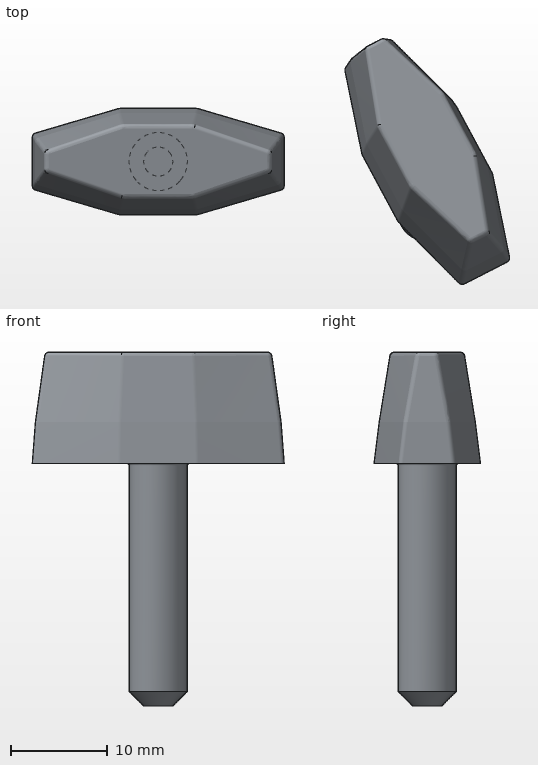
import cadquery as cq

BASE_SECTION = (0.0, 13.0, 5.5, 4.0, 2.85)
WAIST_SECTION = (4.25, 12.68, 4.97, 3.95, 2.35)
CROWN_SECTION = (11.5, 11.67, 3.8, 3.65, 1.05)
END_CORNER_RADIUS = 0.5
SIDE_CORNER_RADIUS = 1.0
CROWN_FILLET = 0.5

STUD_DIAMETER = 6.0
STUD_LENGTH = 25.0
TIP_CHAMFER = 1.5
ROOT_FILLET = 0.2


def head_wire(section):
    """Closed octagon with rounded corners, lying at the height of the section."""
    height, half_length, half_depth, flat_half_length, end_half_depth = section
    corners = [
        (half_length, end_half_depth),
        (flat_half_length, half_depth),
        (-flat_half_length, half_depth),
        (-half_length, end_half_depth),
        (-half_length, -end_half_depth),
        (-flat_half_length, -half_depth),
        (flat_half_length, -half_depth),
        (half_length, -end_half_depth),
    ]
    octagon = cq.Wire.makePolygon([cq.Vector(x, y, height) for x, y in corners], close=True)
    side_corners = [v for v in octagon.Vertices() if abs(v.Y) > (half_depth + end_half_depth) / 2]
    outline = octagon.fillet2D(SIDE_CORNER_RADIUS, side_corners)
    end_corners = [v for v in outline.Vertices() if abs(v.X) > (half_length + flat_half_length) / 2]
    return outline.fillet2D(END_CORNER_RADIUS, end_corners)


def tapered_block(lower, upper):
    """Straight-sided block between two sections of the head."""
    return cq.Workplane(obj=cq.Solid.makeLoft([head_wire(lower), head_wire(upper)], True))


def make_head():
    """Head that tapers gently up to the waist and more steeply up to the crown."""
    skirt = tapered_block(BASE_SECTION, WAIST_SECTION)
    top = tapered_block(WAIST_SECTION, CROWN_SECTION)
    top = top.faces(">Z").edges().fillet(CROWN_FILLET)
    return skirt.union(top)


def make_stud():
    """Round stud hanging below the head, with a chamfered tip."""
    stud = cq.Workplane("XY").circle(STUD_DIAMETER / 2).extrude(-STUD_LENGTH)
    return stud.faces("<Z").chamfer(TIP_CHAMFER)


def blend_stud_root(body):
    """Small fillet where the stud meets the flat underside of the head."""
    half_box = STUD_DIAMETER / 2 + ROOT_FILLET
    root = cq.selectors.BoxSelector(
        (-half_box, -half_box, -ROOT_FILLET), (half_box, half_box, ROOT_FILLET), boundingbox=True
    )
    return body.edges(root).fillet(ROOT_FILLET)


result = blend_stud_root(make_head().union(make_stud()))